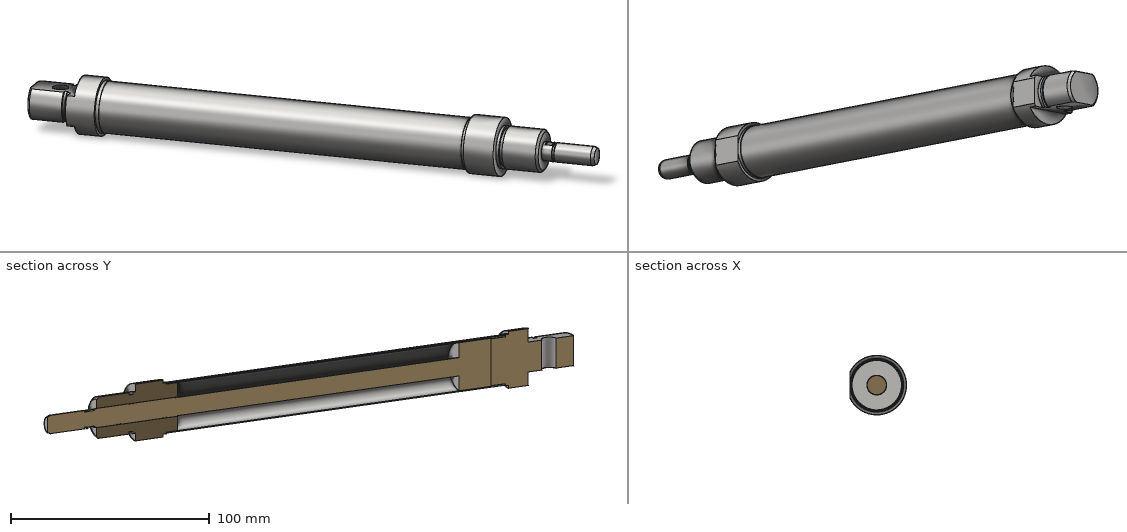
import cadquery as cq

total_length = 300.0
lug_groove_start = 18.3
lug_groove_end = 20.0
rear_collar_start = 22.0
lug_flat_end = 25.8
rear_collar_end = 37.2
rear_spigot_end = 47.0
piston_end = 65.5
front_spigot_start = 225.5
front_collar_start = 234.0
front_collar_end = 250.0
nose_groove_start = 251.5
nose_groove_end = 253.2
nose_end = 272.0
wrench_flat_start = 273.3
wrench_flat_end = 277.0
rod_groove_start = 277.5
rod_groove_end = 278.7

collar_diameter = 30.0
lip_diameter = 27.0
barrel_diameter = 26.5
bore_diameter = 25.0
thread_diameter = 22.0
thread_groove_diameter = 19.5
rod_diameter = 10.0
rod_groove_diameter = 8.5

lip_length = 1.8
collar_flat_y = 13.5
lug_thickness = 16.0
lug_chamfer = 1.2
nose_chamfer = 1.2
pin_hole_diameter = 8.0
pin_hole_x = 14.0
wrench_flat_width = 8.5
rod_chamfer_length = 1.8
rod_tip_diameter = 8.5

barrel_start = rear_collar_end + lip_length
barrel_end = front_collar_start - lip_length
cutter_size = 4 * collar_diameter


def revolve_outline(outline):
    """Solid of revolution about X from (x, diameter) points, closed along the axis."""
    start_x = outline[0][0]
    end_x = outline[-1][0]
    rim = [(x, diameter / 2) for x, diameter in outline]
    points = [(start_x, 0), *rim, (end_x, 0)]
    return cq.Workplane("XY").polyline(points).close().revolve(360, (0, 0), (1, 0))


def plain_cylinder(start_x, end_x, diameter):
    """Cylinder about X between two positions."""
    return revolve_outline([(start_x, diameter), (end_x, diameter)])


def cut_collar_flat(body):
    """Plane off the +Y side of a collar."""
    cutter = cq.Workplane("XY").box(2 * total_length, cutter_size, cutter_size)
    return body.cut(cutter.translate((total_length / 2, collar_flat_y + cutter_size / 2, 0)))


def cut_parallel_flats(body, start_x, end_x, width):
    """Mill two flats facing +Z and -Z, the given width apart, between two positions."""
    length = end_x - start_x
    cutter = cq.Workplane("XY").box(length, cutter_size, cutter_size)
    for side in (-1, 1):
        centre_z = side * (width + cutter_size) / 2
        body = body.cut(cutter.translate((start_x + length / 2, 0, centre_z)))
    return body


def make_rear_cap():
    """Rear cap: flattened lug with a cross hole, collar, and spigot inside the barrel."""
    cap = revolve_outline([
        (0, thread_diameter - 2 * lug_chamfer),
        (lug_chamfer, thread_diameter),
        (lug_groove_start, thread_diameter),
        (lug_groove_start, thread_groove_diameter),
        (lug_groove_end, thread_groove_diameter),
        (lug_groove_end, thread_diameter),
        (rear_collar_start, thread_diameter),
        (rear_collar_start, collar_diameter),
        (rear_collar_end, collar_diameter),
        (rear_collar_end, lip_diameter),
        (barrel_start, lip_diameter),
        (barrel_start, bore_diameter),
        (rear_spigot_end, bore_diameter),
    ])
    cap = cut_collar_flat(cap)
    cap = cut_parallel_flats(cap, 0, lug_flat_end, lug_thickness)
    pin_hole = cq.Workplane("XY").center(pin_hole_x, 0).circle(pin_hole_diameter / 2)
    return cap.cut(pin_hole.extrude(lug_thickness, both=True))


def make_barrel():
    """Thin-walled barrel between the lips of the two caps."""
    barrel = plain_cylinder(barrel_start, barrel_end, barrel_diameter)
    return barrel.cut(plain_cylinder(barrel_start, barrel_end, bore_diameter))


def make_front_cap():
    """Front cap: spigot inside the barrel, collar, grooved nose, and rod hole."""
    cap = revolve_outline([
        (front_spigot_start, bore_diameter),
        (barrel_end, bore_diameter),
        (barrel_end, lip_diameter),
        (front_collar_start, lip_diameter),
        (front_collar_start, collar_diameter),
        (front_collar_end, collar_diameter),
        (front_collar_end, thread_diameter),
        (nose_groove_start, thread_diameter),
        (nose_groove_start, thread_groove_diameter),
        (nose_groove_end, thread_groove_diameter),
        (nose_groove_end, thread_diameter),
        (nose_end - nose_chamfer, thread_diameter),
        (nose_end, thread_diameter - 2 * nose_chamfer),
    ])
    cap = cut_collar_flat(cap)
    return cap.cut(plain_cylinder(front_spigot_start, nose_end, rod_diameter))


def make_piston_rod():
    """Piston resting on the rear spigot, with its rod: wrench flats, undercut, chamfered end."""
    rod = revolve_outline([
        (rear_spigot_end, bore_diameter),
        (piston_end, bore_diameter),
        (piston_end, rod_diameter),
        (rod_groove_start, rod_diameter),
        (rod_groove_start, rod_groove_diameter),
        (rod_groove_end, rod_groove_diameter),
        (rod_groove_end, rod_diameter),
        (total_length - rod_chamfer_length, rod_diameter),
        (total_length, rod_tip_diameter),
    ])
    return cut_parallel_flats(rod, wrench_flat_start, wrench_flat_end, wrench_flat_width)


rear_cap = make_rear_cap()
barrel = make_barrel()
front_cap = make_front_cap()
piston_rod = make_piston_rod()

result = cq.Compound.makeCompound([
    rear_cap.val(),
    barrel.val(),
    front_cap.val(),
    piston_rod.val(),
])